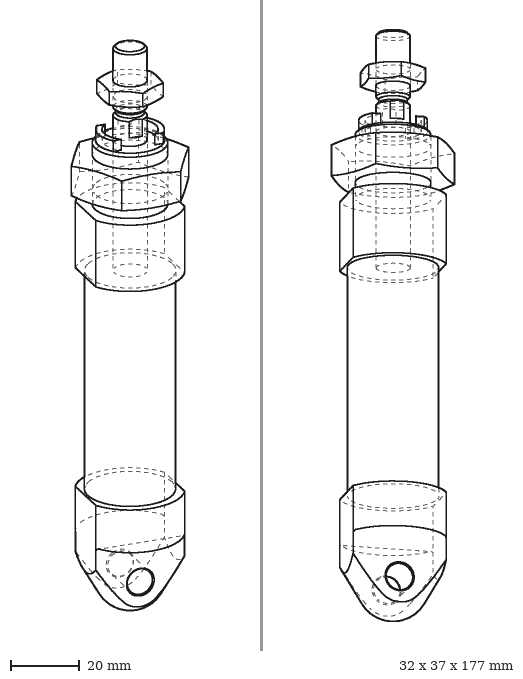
import cadquery as cq
import math

OVERALL_LENGTH = 177.0

TONGUE_THICKNESS = 15.5
NOSE_RADIUS = 10.6
TAPER_ANGLE = 30.0
TONGUE_ROOT_FILLET = 1.0
PIVOT_HEIGHT = 11.2
PIVOT_DIAMETER = 8.0
PIVOT_CHAMFER = 0.4

CAP_DIAMETER = 32.0
CAP_ACROSS_FLATS = 28.0
REAR_CAP_BOTTOM = 24.0
REAR_CAP_TOP = 37.5
BARREL_DIAMETER = 26.5
FRONT_CAP_BOTTOM = 106.4
FRONT_CAP_TOP = 127.3

NECK_DIAMETER = 22.0
NECK_TOP = 147.5
NECK_CHAMFER = 0.9
LUG_OUTER_DIAMETER = 20.0
LUG_INNER_DIAMETER = 16.3
LUG_WIDTH = 12.4
LUG_HEIGHT = 3.4

ROD_DIAMETER = 10.0
ROD_TIP_CHAMFER = 0.7
ROD_BOTTOM = FRONT_CAP_BOTTOM
GROOVE_DIAMETER = 8.3
GROOVE_BOTTOM = 155.2
GROOVE_TOP = 157.9
ROD_ACROSS_FLATS = 9.0
ROD_FLATS_BOTTOM = 150.1

MOUNT_NUT_ACROSS_FLATS = 32.0
MOUNT_NUT_BOTTOM = 132.0
MOUNT_NUT_HEIGHT = 10.8
ROD_NUT_ACROSS_FLATS = 17.0
ROD_NUT_BOTTOM = 161.2
ROD_NUT_HEIGHT = 5.0
NUT_FACE_RATIO = 0.98
NUT_CHAMFER_ANGLE = 15.0


def cylinder(diameter, bottom, top):
    """Upright cylinder on the Z axis between two heights."""
    return cq.Workplane("XY").workplane(offset=bottom).circle(diameter / 2).extrude(top - bottom)


def slab(size_x, size_y, bottom, top):
    """Upright box centred on the Z axis between two heights."""
    return cq.Workplane("XY").workplane(offset=bottom).rect(size_x, size_y).extrude(top - bottom)


def revolve_about_z(profile):
    """Full turn of a closed XZ profile about the Z axis."""
    return profile.revolve(360, (0, 0, 0), (0, 1, 0))


def make_cap(bottom, top):
    """Round end cap with flats on its -Y and +Y sides."""
    flats = slab(CAP_DIAMETER, CAP_ACROSS_FLATS, bottom, top)
    return cylinder(CAP_DIAMETER, bottom, top).intersect(flats)


def make_nose_envelope():
    """Spherical nose that runs tangent into a cone, then into the cap diameter."""
    taper = math.radians(TAPER_ANGLE)
    cap_radius = CAP_DIAMETER / 2
    tangent_radius = NOSE_RADIUS * math.cos(taper)
    tangent_height = NOSE_RADIUS * (1 - math.sin(taper))
    cone_top = tangent_height + (cap_radius - tangent_radius) / math.tan(taper)
    mid_angle = (math.pi / 2 + taper) / 2
    arc_middle = (NOSE_RADIUS * math.cos(mid_angle), NOSE_RADIUS * (1 - math.sin(mid_angle)))
    profile = (
        cq.Workplane("XZ")
        .moveTo(0, 0)
        .threePointArc(arc_middle, (tangent_radius, tangent_height))
        .lineTo(cap_radius, cone_top)
        .lineTo(cap_radius, REAR_CAP_TOP)
        .lineTo(0, REAR_CAP_TOP)
        .close()
    )
    return revolve_about_z(profile)


def make_rear_end():
    """Rear cap and pivot tongue, flared together by a root fillet on each side."""
    half_thickness = TONGUE_THICKNESS / 2
    fillet_bottom = REAR_CAP_BOTTOM - TONGUE_ROOT_FILLET
    fillet_outer = half_thickness + TONGUE_ROOT_FILLET
    arc_offset = TONGUE_ROOT_FILLET * (1 - math.sqrt(0.5))
    section = (
        cq.Workplane("XZ")
        .moveTo(-half_thickness, 0)
        .lineTo(half_thickness, 0)
        .lineTo(half_thickness, fillet_bottom)
        .threePointArc(
            (half_thickness + arc_offset, REAR_CAP_BOTTOM - arc_offset),
            (fillet_outer, REAR_CAP_BOTTOM),
        )
        .lineTo(CAP_DIAMETER / 2, REAR_CAP_BOTTOM)
        .lineTo(CAP_DIAMETER / 2, REAR_CAP_TOP)
        .lineTo(-CAP_DIAMETER / 2, REAR_CAP_TOP)
        .lineTo(-CAP_DIAMETER / 2, REAR_CAP_BOTTOM)
        .lineTo(-fillet_outer, REAR_CAP_BOTTOM)
        .threePointArc(
            (-half_thickness - arc_offset, REAR_CAP_BOTTOM - arc_offset),
            (-half_thickness, fillet_bottom),
        )
        .close()
        .extrude(CAP_ACROSS_FLATS / 2, both=True)
    )
    return section.intersect(make_nose_envelope())


def make_pivot_hole():
    """Cutter along X for the pivot hole, widened by a chamfer at both mouths."""
    half_thickness = TONGUE_THICKNESS / 2
    radius = PIVOT_DIAMETER / 2
    mouth_radius = radius + PIVOT_CHAMFER
    profile = (
        cq.Workplane("XY")
        .moveTo(-half_thickness, 0)
        .lineTo(-half_thickness, mouth_radius)
        .lineTo(-half_thickness + PIVOT_CHAMFER, radius)
        .lineTo(half_thickness - PIVOT_CHAMFER, radius)
        .lineTo(half_thickness, mouth_radius)
        .lineTo(half_thickness, 0)
        .close()
    )
    return profile.revolve(360, (0, 0, 0), (1, 0, 0)).translate((0, 0, PIVOT_HEIGHT))


def make_neck():
    """Threaded neck, chamfered at its end, with a wrench lug at -Y and at +Y."""
    neck = cylinder(NECK_DIAMETER, FRONT_CAP_TOP, NECK_TOP).faces(">Z").chamfer(NECK_CHAMFER)
    lug_top = NECK_TOP + LUG_HEIGHT
    lugs = (
        cylinder(LUG_OUTER_DIAMETER, NECK_TOP, lug_top)
        .cut(cylinder(LUG_INNER_DIAMETER, NECK_TOP, lug_top))
        .intersect(slab(LUG_WIDTH, LUG_OUTER_DIAMETER, NECK_TOP, lug_top))
    )
    return neck.union(lugs)


def make_housing():
    """Rear end, barrel, front cap and neck in one piece, bored for the rod."""
    return (
        make_rear_end()
        .union(cylinder(BARREL_DIAMETER, REAR_CAP_TOP, FRONT_CAP_BOTTOM))
        .union(make_cap(FRONT_CAP_BOTTOM, FRONT_CAP_TOP))
        .union(make_neck())
        .cut(make_pivot_hole())
        .cut(cylinder(ROD_DIAMETER, ROD_BOTTOM, NECK_TOP))
    )


def make_rod():
    """Piston rod with a chamfered tip, a V-sided groove and two wrench flats."""
    radius = ROD_DIAMETER / 2
    groove_radius = GROOVE_DIAMETER / 2
    groove_depth = radius - groove_radius
    rod = revolve_about_z(
        cq.Workplane("XZ")
        .moveTo(0, ROD_BOTTOM)
        .lineTo(radius, ROD_BOTTOM)
        .lineTo(radius, GROOVE_BOTTOM)
        .lineTo(groove_radius, GROOVE_BOTTOM + groove_depth)
        .lineTo(groove_radius, GROOVE_TOP - groove_depth)
        .lineTo(radius, GROOVE_TOP)
        .lineTo(radius, OVERALL_LENGTH - ROD_TIP_CHAMFER)
        .lineTo(radius - ROD_TIP_CHAMFER, OVERALL_LENGTH)
        .lineTo(0, OVERALL_LENGTH)
        .close()
    )
    flats_top = GROOVE_BOTTOM + groove_depth
    flat_cutter = cylinder(2 * ROD_DIAMETER, ROD_FLATS_BOTTOM, flats_top).cut(
        slab(ROD_ACROSS_FLATS, 2 * ROD_DIAMETER, ROD_FLATS_BOTTOM, flats_top)
    )
    return rod.cut(flat_cutter)


def make_nut(across_flats, bore_diameter, bottom, height):
    """Hexagon nut with corners on the X axis and both ends chamfered."""
    across_corners = across_flats / math.cos(math.pi / 6)
    corner_radius = across_corners / 2
    face_radius = across_flats * NUT_FACE_RATIO / 2
    drop = (corner_radius - face_radius) * math.tan(math.radians(NUT_CHAMFER_ANGLE))
    envelope = revolve_about_z(
        cq.Workplane("XZ")
        .moveTo(0, 0)
        .lineTo(face_radius, 0)
        .lineTo(corner_radius, drop)
        .lineTo(corner_radius, height - drop)
        .lineTo(face_radius, height)
        .lineTo(0, height)
        .close()
    )
    return (
        cq.Workplane("XY")
        .polygon(6, across_corners)
        .extrude(height)
        .intersect(envelope)
        .cut(cylinder(bore_diameter, 0, height))
        .translate((0, 0, bottom))
    )


housing = make_housing()
rod = make_rod()
rod_nut = make_nut(ROD_NUT_ACROSS_FLATS, ROD_DIAMETER, ROD_NUT_BOTTOM, ROD_NUT_HEIGHT)

mount_nut = make_nut(
    MOUNT_NUT_ACROSS_FLATS, NECK_DIAMETER, MOUNT_NUT_BOTTOM, MOUNT_NUT_HEIGHT
).rotate((0, 0, 0), (0, 0, 1), 90)

result = cq.Compound.makeCompound([housing.val(), rod.val(), rod_nut.val(), mount_nut.val()])